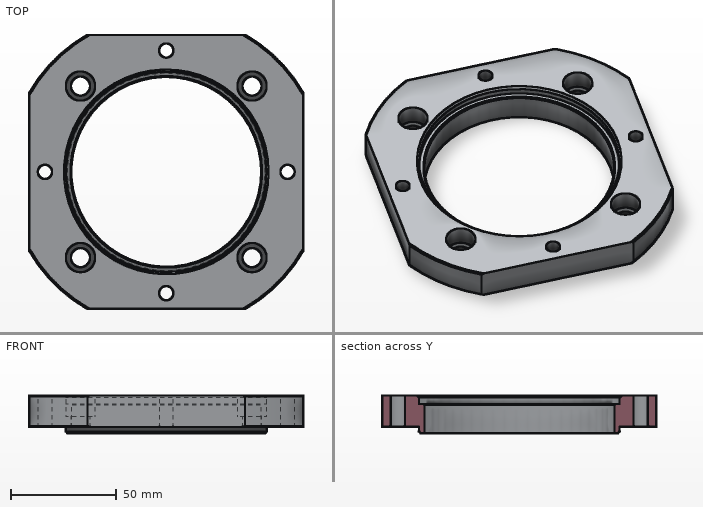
import cadquery as cq

plate_width = 130.0
plate_corner_diameter = 150.0
plate_thickness = 15.0
plate_edge_chamfer = 0.5

spigot_diameter = 95.5
spigot_height = 3.0
spigot_chamfer = 0.9

bore_diameter = 90.0
bore_chamfer = 0.5
seat_diameter = 95.0
seat_depth = 4.0
seat_chamfer = 1.0

hole_circle_diameter = 115.0
screw_hole_diameter = 9.0
screw_head_diameter = 13.9
screw_head_depth = 10.0

axis_hole_diameter = 6.6

total_height = plate_thickness + spigot_height


def cylinder(diameter, bottom, height):
    """Upright cylinder on the part axis."""
    return cq.Workplane("XY").workplane(offset=bottom).circle(diameter / 2).extrude(height)


def make_plate():
    """Square cut by a disc, with only the rounded corner edges chamfered, top and bottom."""
    square = (
        cq.Workplane("XY")
        .workplane(offset=spigot_height)
        .rect(plate_width, plate_width)
        .extrude(plate_thickness)
    )
    disc = cylinder(plate_corner_diameter, spigot_height, plate_thickness)
    return square.intersect(disc.faces("<Z or >Z").chamfer(plate_edge_chamfer))


def make_spigot():
    """Ring below the plate with a chamfered lower edge."""
    return cylinder(spigot_diameter, 0, spigot_height).faces("<Z").chamfer(spigot_chamfer)


def cut_bore(body):
    """Through bore and the wider seat, revolved from one half profile."""
    bore_radius = bore_diameter / 2
    seat_radius = seat_diameter / 2
    seat_floor = total_height - seat_depth
    profile = (
        cq.Workplane("XZ")
        .lineTo(bore_radius, 0)
        .lineTo(bore_radius, seat_floor - bore_chamfer)
        .lineTo(bore_radius + bore_chamfer, seat_floor)
        .lineTo(seat_radius, seat_floor)
        .lineTo(seat_radius, total_height - seat_chamfer)
        .lineTo(seat_radius + seat_chamfer, total_height)
        .lineTo(0, total_height)
        .close()
    )
    return body.cut(profile.revolve(360, (0, 0), (0, 1)))


def cut_holes(body):
    """Four counterbored holes and four plain holes, alternating every 45 degrees."""
    top = body.faces(">Z").workplane(origin=(0, 0, total_height))
    body = top.polarArray(hole_circle_diameter / 2, 45, 360, 4).cboreHole(
        screw_hole_diameter, screw_head_diameter, screw_head_depth
    )
    top = body.faces(">Z").workplane(origin=(0, 0, total_height))
    return top.polarArray(hole_circle_diameter / 2, 0, 360, 4).hole(axis_hole_diameter)


result = cut_holes(cut_bore(make_plate().union(make_spigot())))